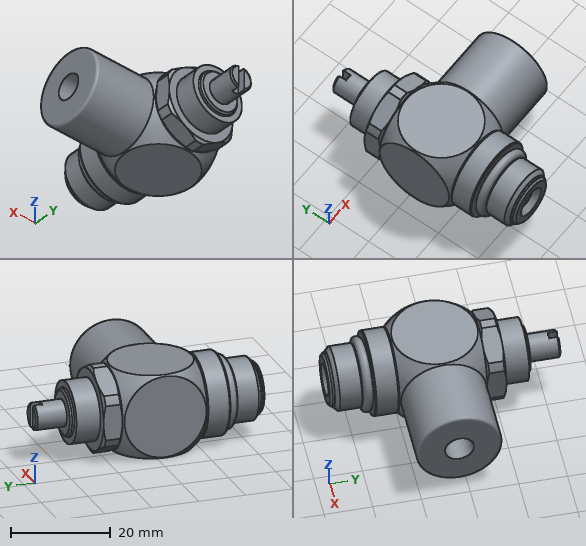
import cadquery as cq
import math


TOTAL_LENGTH = 47.9

BODY_SIDE = 18.0
FACE_DISC_RADIUS = 8.7
HALF_BODY = BODY_SIDE / 2
BODY_SPHERE_RADIUS = math.hypot(HALF_BODY, FACE_DISC_RADIUS)

PORT_RADIUS = 8.75
PORT_END_X = 24.0
PORT_EDGE_FILLET = 0.57

NUT_FLATS = 16.95
NUT_CORNER_RADIUS = 9.25
NUT_END_Y = 13.0
NUT_CHAMFER_HEIGHT = 0.45
NUT_FACE_RADIUS = NUT_FLATS / 2

BONNET_RADIUS = 6.5
BONNET_END_Y = 18.05
LIP_BASE_RADIUS = 5.13
LIP_RADIUS = 4.95
LIP_END_Y = 18.82
LIP_CHAMFER = 0.4
STEM_RADIUS = 2.85
STEM_END_Y = 25.35
STEM_CHAMFER = 0.35
SLOT_WIDTH = 1.55
SLOT_DEPTH = 1.95

COLLAR_RADIUS = 8.75
COLLAR_END_Y = -14.05
COLLAR_CHAMFER_HEIGHT = 0.3
COLLAR_CHAMFER_WIDTH = 0.15
RING_OUTER_RADIUS = 7.75
RING_EDGE_RADIUS = 1.0
RING_END_Y = COLLAR_END_Y - 2 * RING_EDGE_RADIUS
THREAD_RADIUS = 6.6
THREAD_TOP_CHAMFER = 0.25
THREAD_END_Y = -20.8
THREAD_END_CHAMFER = 0.85
TIP_START_Y = THREAD_END_Y - THREAD_END_CHAMFER
TIP_RADIUS = 5.5
TIP_CHAMFER = 0.5
TIP_END_Y = STEM_END_Y - TOTAL_LENGTH

INLET_RADIUS = 2.25
INLET_MOUTH_RADIUS = 3.35
INLET_CONE_DEPTH = 1.45
PORT_BORE_RADIUS = 2.95


def turned(profile):
    """Revolve a closed (radius, y) outline about the Y axis."""
    return cq.Workplane("XY").polyline(profile).close().revolve(360, (0, 0, 0), (0, 1, 0))


def make_body():
    cube = cq.Workplane("XY").box(BODY_SIDE, BODY_SIDE, BODY_SIDE)
    return cube.intersect(cq.Workplane("XY").sphere(BODY_SPHERE_RADIUS))


def make_port():
    port = cq.Workplane("YZ").circle(PORT_RADIUS).extrude(PORT_END_X)
    return port.faces(">X").edges().fillet(PORT_EDGE_FILLET)


def make_nut():
    hexagon_diameter = NUT_FLATS / math.cos(math.pi / 6)
    height = NUT_END_Y - HALF_BODY
    hexagon = (
        cq.Workplane("XZ", origin=(0, HALF_BODY, 0))
        .transformed(rotate=(0, 0, 90))
        .polygon(6, hexagon_diameter)
        .extrude(-height)
    )
    envelope = turned([
        (0, HALF_BODY),
        (NUT_FACE_RADIUS, HALF_BODY),
        (NUT_CORNER_RADIUS, HALF_BODY + NUT_CHAMFER_HEIGHT),
        (NUT_CORNER_RADIUS, NUT_END_Y - NUT_CHAMFER_HEIGHT),
        (NUT_FACE_RADIUS, NUT_END_Y),
        (0, NUT_END_Y),
    ])
    return hexagon.intersect(envelope)


def make_bonnet_and_stem():
    turning = turned([
        (0, 0),
        (BONNET_RADIUS, 0),
        (BONNET_RADIUS, BONNET_END_Y),
        (LIP_BASE_RADIUS, BONNET_END_Y),
        (LIP_RADIUS, LIP_END_Y - LIP_CHAMFER),
        (LIP_RADIUS - LIP_CHAMFER, LIP_END_Y),
        (STEM_RADIUS, LIP_END_Y),
        (STEM_RADIUS, STEM_END_Y - STEM_CHAMFER),
        (STEM_RADIUS - STEM_CHAMFER, STEM_END_Y),
        (0, STEM_END_Y),
    ])
    slot = (
        cq.Workplane("XY")
        .box(SLOT_WIDTH, SLOT_DEPTH, 2 * STEM_RADIUS)
        .translate((0, STEM_END_Y - SLOT_DEPTH / 2, 0))
    )
    return turning.cut(slot)


def make_threaded_end():
    return turned([
        (0, 0),
        (COLLAR_RADIUS - COLLAR_CHAMFER_WIDTH, 0),
        (COLLAR_RADIUS - COLLAR_CHAMFER_WIDTH, -HALF_BODY),
        (COLLAR_RADIUS, -HALF_BODY - COLLAR_CHAMFER_HEIGHT),
        (COLLAR_RADIUS, COLLAR_END_Y + COLLAR_CHAMFER_HEIGHT),
        (COLLAR_RADIUS - COLLAR_CHAMFER_WIDTH, COLLAR_END_Y),
        (THREAD_RADIUS - THREAD_TOP_CHAMFER, COLLAR_END_Y),
        (THREAD_RADIUS - THREAD_TOP_CHAMFER, RING_END_Y),
        (THREAD_RADIUS, RING_END_Y - THREAD_TOP_CHAMFER),
        (THREAD_RADIUS, THREAD_END_Y),
        (THREAD_RADIUS - THREAD_END_CHAMFER, TIP_START_Y),
        (TIP_RADIUS, TIP_START_Y),
        (TIP_RADIUS, TIP_END_Y + TIP_CHAMFER),
        (TIP_RADIUS - TIP_CHAMFER, TIP_END_Y),
        (0, TIP_END_Y),
    ])


def make_o_ring():
    flat_radius = RING_OUTER_RADIUS - RING_EDGE_RADIUS
    middle_y = COLLAR_END_Y - RING_EDGE_RADIUS
    return (
        cq.Workplane("XY")
        .moveTo(0, COLLAR_END_Y)
        .lineTo(flat_radius, COLLAR_END_Y)
        .threePointArc((RING_OUTER_RADIUS, middle_y), (flat_radius, RING_END_Y))
        .lineTo(0, RING_END_Y)
        .close()
        .revolve(360, (0, 0, 0), (0, 1, 0))
    )


def make_passages():
    inlet = turned([
        (0, TIP_END_Y),
        (INLET_MOUTH_RADIUS, TIP_END_Y),
        (INLET_RADIUS, TIP_END_Y + INLET_CONE_DEPTH),
        (INLET_RADIUS, 0),
        (0, 0),
    ])
    port_bore = cq.Workplane("YZ").circle(PORT_BORE_RADIUS).extrude(PORT_END_X)
    round_end = cq.Workplane("XY").sphere(PORT_BORE_RADIUS)
    return inlet.union(port_bore).union(round_end)


result = (
    make_body()
    .union(make_port())
    .union(make_nut())
    .union(make_bonnet_and_stem())
    .union(make_threaded_end())
    .union(make_o_ring())
    .cut(make_passages())
)